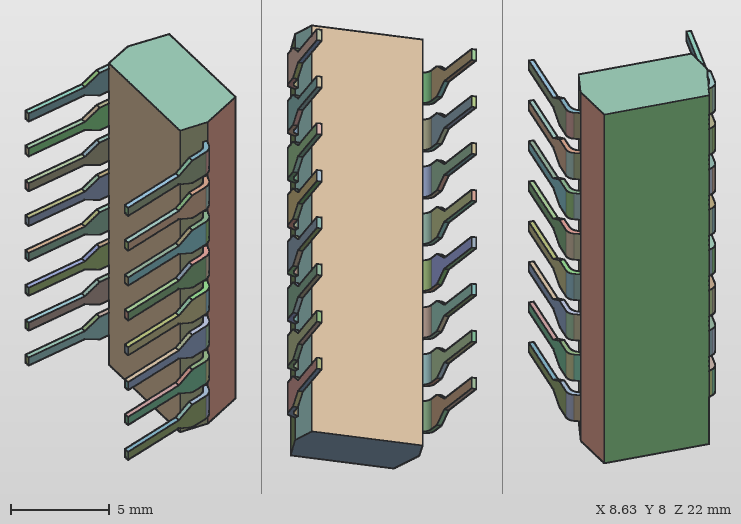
import cadquery as cq
import math


body_length = 21.97
body_width = 6.72
top_width = 5.58
bottom_width = 6.0
top_height = 2.2
bottom_depth = 1.5

leads_per_row = 8
row_length = 17.77
lead_pitch = row_length / (leads_per_row - 1)
row_offset = -0.07

tip_span = 8.63
tip_depth = 5.8
lead_thickness = 0.26
outer_bend_radius = 0.48
inner_bend_radius = 0.57
shoulder_drop = 0.02
shoulder_slope = 25.0
leg_splay = 3.9
embed_length = 0.33
shoulder_width = 1.65
pin_width = 0.6
taper_start_depth = bottom_depth
taper_end_depth = 2.4


def make_body():
    outline = [
        (top_width / 2, top_height),
        (body_width / 2, 0),
        (bottom_width / 2, -bottom_depth),
        (-bottom_width / 2, -bottom_depth),
        (-body_width / 2, 0),
        (-top_width / 2, top_height),
    ]
    return cq.Workplane("XY").polyline(outline).close().extrude(body_length / 2, both=True)


def bent_strip():
    """Lead on the +X side at full shoulder width: sloped shoulder, bend and splayed leg."""
    slope = math.radians(shoulder_slope)
    splay = math.radians(leg_splay)

    start_x = body_width / 2
    tip_x = tip_span / 2
    leg_x_at_start = tip_x - (tip_depth - shoulder_drop) * math.tan(splay)
    corner_run = (leg_x_at_start - start_x) / (1 - math.tan(slope) * math.tan(splay))
    outer_corner = (start_x + corner_run, -shoulder_drop - corner_run * math.tan(slope))

    half_turn = (math.pi / 2 - slope - splay) / 2
    corner_direction = splay + half_turn
    corner_distance = lead_thickness / math.cos(half_turn)
    inner_corner = (
        outer_corner[0] - corner_distance * math.cos(corner_direction),
        outer_corner[1] - corner_distance * math.sin(corner_direction),
    )

    root_outer = (
        start_x - embed_length * math.cos(slope),
        -shoulder_drop + embed_length * math.sin(slope),
    )
    root_inner = (
        root_outer[0] - lead_thickness * math.sin(slope),
        root_outer[1] - lead_thickness * math.cos(slope),
    )
    tip_outer = (tip_x, -tip_depth)
    tip_inner = (tip_x - lead_thickness / math.cos(splay), -tip_depth)

    outline = [root_outer, outer_corner, tip_outer, tip_inner, inner_corner, root_inner]
    strip = cq.Workplane("XY").polyline(outline).close().extrude(shoulder_width / 2, both=True)
    for corner, radius in ((outer_corner, outer_bend_radius), (inner_corner, inner_bend_radius)):
        bend_edge = cq.selectors.NearestToPointSelector((corner[0], corner[1], 0))
        strip = strip.edges("|Z").edges(bend_edge).fillet(radius)
    return strip


def make_lead():
    """Bent strip trimmed to its side outline: wide shoulder tapering to a narrow pin."""
    outline = [
        (top_height, shoulder_width / 2),
        (-taper_start_depth, shoulder_width / 2),
        (-taper_end_depth, pin_width / 2),
        (-tip_depth, pin_width / 2),
        (-tip_depth, -pin_width / 2),
        (-taper_end_depth, -pin_width / 2),
        (-taper_start_depth, -shoulder_width / 2),
        (top_height, -shoulder_width / 2),
    ]
    side_outline = cq.Workplane("YZ").polyline(outline).close().extrude(tip_span)
    return bent_strip().intersect(side_outline)


right_lead = make_lead()
left_lead = right_lead.mirror("YZ")

result = make_body()
for index in range(leads_per_row):
    lead_z = row_offset + index * lead_pitch - row_length / 2
    for lead in (right_lead, left_lead):
        result = result.union(lead.translate((0, 0, lead_z)))